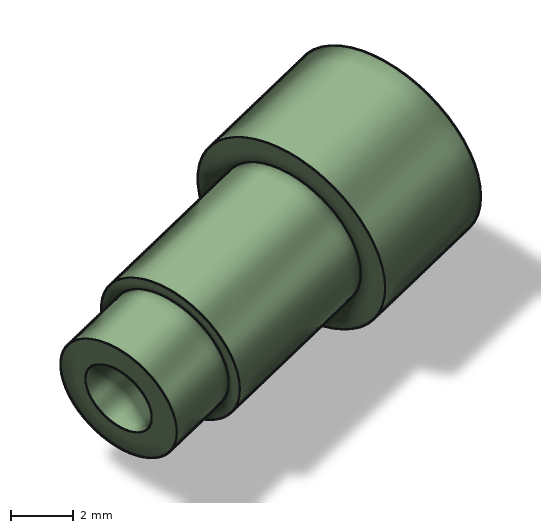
import cadquery as cq

total_length = 14.0
head_length = 5.0
tip_length = 2.7
shank_length = total_length - head_length - tip_length

head_diameter = 7.65
shank_diameter = 5.65
tip_diameter = 4.75
bore_diameter = 2.7


def cylinder_along_y(diameter, start, length):
    """Solid cylinder on the Y axis, running from start toward +Y."""
    base = cq.Workplane("XZ", origin=(0, start, 0))
    return base.circle(diameter / 2).extrude(-length)


tip = cylinder_along_y(tip_diameter, 0, tip_length)
shank = cylinder_along_y(shank_diameter, tip_length, shank_length)
head = cylinder_along_y(head_diameter, tip_length + shank_length, head_length)

bore = cylinder_along_y(bore_diameter, 0, total_length)

result = tip.union(shank).union(head).cut(bore)